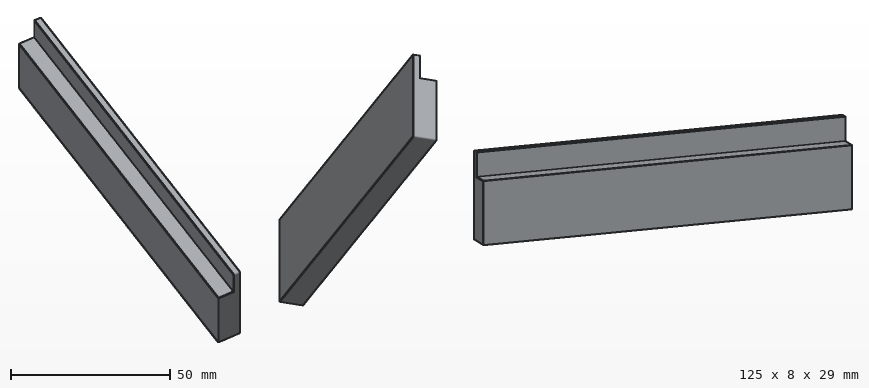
import cadquery as cq

length = 125.0
depth = 8.0
height = 29.0

lip_thickness = 2.5
lip_height = 8.0

corner_radius = 0.5

edge_bevel = 0.2

shelf_height = height - lip_height
lip_front = depth - lip_thickness


def rebated_bar():
    """L-shaped section in the YZ plane, extruded along X and centred on it."""
    section = [
        (0, 0),
        (depth, 0),
        (depth, height),
        (lip_front, height),
        (lip_front, shelf_height),
        (0, shelf_height),
    ]
    return cq.Workplane("YZ").polyline(section).close().extrude(length / 2, both=True)


def round_end_corners(bar):
    """Round the short edges where the top and bottom faces meet the ends."""
    return bar.edges("|Y").edges(">Z or <Z").fillet(corner_radius)


def break_outer_edges(bar):
    """Bevel every edge except the inside corner where lip and shelf meet."""
    inside_corner = cq.selectors.BoxSelector(
        (-length, lip_front - edge_bevel, shelf_height - edge_bevel),
        (length, lip_front + edge_bevel, shelf_height + edge_bevel),
    )
    outer_edges = bar.edges(cq.selectors.InverseSelector(inside_corner))
    return outer_edges.chamfer(edge_bevel)


result = break_outer_edges(round_end_corners(rebated_bar()))